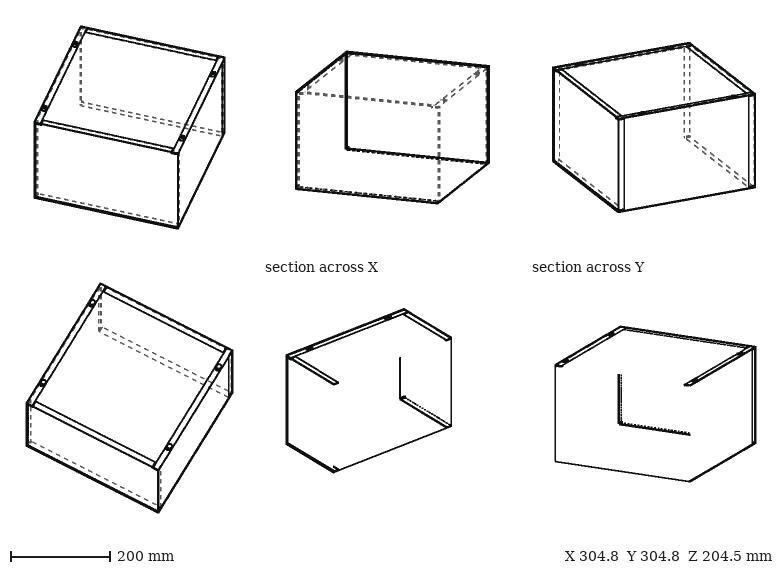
import cadquery as cq

WIDTH = 304.8
DEPTH = 304.8
HEIGHT = 204.5

SHEET = 1.43
WRAPPER_BEND = 2.0
PANEL_BEND = 1.98
BODY_TOP = HEIGHT - SHEET

LIP_WIDTH = 12.8

PANEL_GAP = 0.3
FLANGE_DEPTH = 12.8
RELIEF_MARGIN = 0.5
CORNER_RELIEF = PANEL_BEND + RELIEF_MARGIN
LIP_NOTCH_WIDTH = 14.5
PANEL_HALF_WIDTH = WIDTH / 2 - SHEET - PANEL_GAP
PANEL_BOTTOM = SHEET + PANEL_GAP

SCREW_X = 145.7
SCREW_Y = 101.5
SCREW_HOLE_DIAMETER = 4.3
SLOT_WIDTH = 6.5
KEYHOLE_DIAMETER = 10.0
KEYHOLE_TRAVEL = 6.7
SCREW_POINTS = [(x, y) for x in (-SCREW_X, SCREW_X) for y in (-SCREW_Y, SCREW_Y)]


def box_between(x_range, y_range, z_range):
    """Solid block between two limits on each axis."""
    size = [high - low for low, high in (x_range, y_range, z_range)]
    corner = (x_range[0], y_range[0], z_range[0])
    return cq.Workplane("XY").box(*size, centered=False).translate(corner)


def make_cover():
    """Flat lid with four keyholes that slide over the screws."""
    base = cq.Workplane("XY").workplane(offset=BODY_TOP)
    large_centers = [(x, y - KEYHOLE_TRAVEL) for x, y in SCREW_POINTS]
    slot_centers = [(x, y - KEYHOLE_TRAVEL / 2) for x, y in SCREW_POINTS]
    slot_length = KEYHOLE_TRAVEL + SLOT_WIDTH
    lid = base.rect(WIDTH, DEPTH).extrude(SHEET)
    large_holes = base.pushPoints(large_centers).circle(KEYHOLE_DIAMETER / 2).extrude(SHEET)
    slots = base.pushPoints(slot_centers).slot2D(slot_length, SLOT_WIDTH, 90).extrude(SHEET)
    return lid.cut(large_holes).cut(slots)


def make_wrapper():
    """Bent sheet forming both sides, the bottom and the two lips under the cover."""
    full_depth = (-DEPTH / 2, DEPTH / 2)
    lip_bottom = BODY_TOP - SHEET
    outer_half = WIDTH / 2
    inner_half = outer_half - SHEET
    opening_half = outer_half - LIP_WIDTH

    outside = box_between((-outer_half, outer_half), full_depth, (0, BODY_TOP))
    outside = outside.edges("|Y").fillet(WRAPPER_BEND)
    inside = box_between((-inner_half, inner_half), full_depth, (SHEET, lip_bottom))
    inside = inside.edges("|Y").fillet(WRAPPER_BEND - SHEET)
    opening = box_between((-opening_half, opening_half), full_depth, (lip_bottom, BODY_TOP))
    screw_holes = (
        cq.Workplane("XY")
        .workplane(offset=lip_bottom)
        .pushPoints(SCREW_POINTS)
        .circle(SCREW_HOLE_DIAMETER / 2)
        .extrude(SHEET)
    )
    return outside.cut(inside).cut(opening).cut(screw_holes)


def make_panel_tray():
    """Front end panel as a shallow tray, its four edges bent back into the box."""
    front = -DEPTH / 2
    back = front + FLANGE_DEPTH
    inner_half = PANEL_HALF_WIDTH - SHEET

    outside = box_between((-PANEL_HALF_WIDTH, PANEL_HALF_WIDTH), (front, back), (PANEL_BOTTOM, BODY_TOP))
    outside = outside.faces("<Y").edges().fillet(PANEL_BEND)
    inside = box_between(
        (-inner_half, inner_half), (front + SHEET, back), (PANEL_BOTTOM + SHEET, BODY_TOP - SHEET)
    )
    inside = inside.faces("<Y").edges().fillet(PANEL_BEND - SHEET)
    return outside.cut(inside)


def make_corner_cuts():
    """Blocks removed at the left corners of the front panel."""
    depth_range = (-DEPTH / 2, -DEPTH / 2 + FLANGE_DEPTH)
    left = -PANEL_HALF_WIDTH
    bottom_relief = box_between(
        (left, left + CORNER_RELIEF), depth_range, (PANEL_BOTTOM, PANEL_BOTTOM + CORNER_RELIEF)
    )
    lip_notch = box_between(
        (left, LIP_NOTCH_WIDTH - WIDTH / 2), depth_range, (BODY_TOP - CORNER_RELIEF, BODY_TOP)
    )
    return [bottom_relief, lip_notch]


def make_end_panels():
    """Front panel and its mirror image at the back, as separate solids."""
    panel = make_panel_tray()
    for cut in make_corner_cuts():
        panel = panel.cut(cut).cut(cut.mirror("YZ"))
    return [panel, panel.mirror("XZ")]


cover = make_cover().solids()
wrapper = make_wrapper().solids()
end_panels = [panel.solids() for panel in make_end_panels()]

result = cq.Compound.makeCompound([cover.val(), wrapper.val(), *[panel.val() for panel in end_panels]])